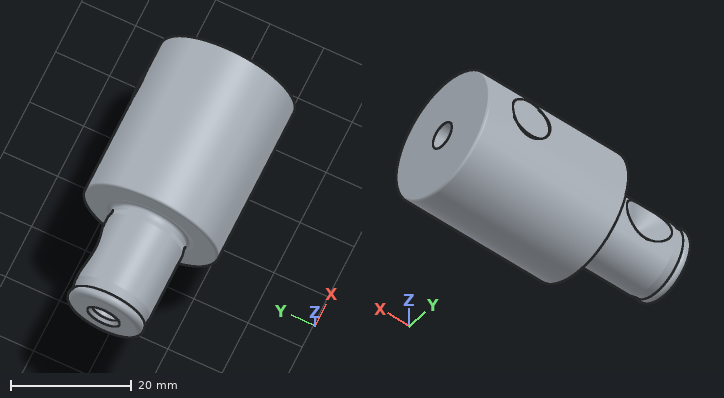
import cadquery as cq

total_length = 48.0
head_start = 18.0
head_diameter = 25.0
head_radius = head_diameter / 2
head_edge_radius = 0.5
shank_radius = 7.0

nose_radius = 1.0
nose_face_radius = shank_radius - nose_radius
nose_end = 1.5
neck_start = 1.8
neck_end = 1.9
neck_radius = 6.7
neck_taper_end = 3.5

undercut_taper_start = 15.95
undercut_start = 17.0
undercut_end = 17.55
undercut_radius = 6.75
undercut_blend_start = 16.8
undercut_blend_drop = 0.025
face_recess_depth = 0.1
face_recess_inner_radius = 7.55
face_recess_outer_radius = 8.1

bore_radius = 2.5
bore_chamfer_width = 0.5
bore_chamfer_depth = 0.85

seat_x = 9.25
seat_mouth_radius = 4.85
seat_rim_margin = 0.95

plug_x = 39.0
plug_diameter = 8.0
plug_radius = plug_diameter / 2
plug_length = plug_diameter
plug_end_y = 12.2


def turned_blank():
    """Revolved shank and head, with the nose, neck and undercut."""
    nose_rise = (nose_radius**2 - (nose_end - nose_radius) ** 2) ** 0.5
    diagonal = nose_radius / 2**0.5
    profile = (
        cq.Workplane("XY")
        .moveTo(0, 0)
        .lineTo(0, nose_face_radius)
        .threePointArc(
            (nose_radius - diagonal, nose_face_radius + diagonal),
            (nose_end, nose_face_radius + nose_rise),
        )
        .lineTo(neck_start, neck_radius)
        .lineTo(neck_end, neck_radius)
        .lineTo(neck_taper_end, shank_radius)
        .lineTo(undercut_taper_start, shank_radius)
        .lineTo(undercut_blend_start, undercut_radius + undercut_blend_drop)
        .tangentArcPoint((undercut_start, undercut_radius), relative=False)
        .lineTo(undercut_end, undercut_radius)
        .tangentArcPoint((head_start + face_recess_depth, face_recess_inner_radius), relative=False)
        .lineTo(head_start, face_recess_outer_radius)
        .lineTo(head_start, head_radius)
        .lineTo(total_length, head_radius)
        .lineTo(total_length, 0)
        .close()
    )
    blank = profile.revolve(360, (0, 0, 0), (1, 0, 0))
    head_edges = cq.selectors.RadiusNthSelector(-1)
    return blank.edges("%CIRCLE").edges(head_edges).fillet(head_edge_radius)


def bore():
    """Straight through bore, widened by a chamfer at the shank end."""
    return (
        cq.Workplane("XY")
        .moveTo(0, 0)
        .lineTo(0, bore_radius + bore_chamfer_width)
        .lineTo(bore_chamfer_depth, bore_radius)
        .lineTo(total_length, bore_radius)
        .lineTo(total_length, 0)
        .close()
        .revolve(360, (0, 0, 0), (1, 0, 0))
    )


def conical_seat():
    """Cone along Y whose radius at the shank's outermost line is the mouth radius."""
    cone_height = seat_mouth_radius + seat_rim_margin
    apex_y = shank_radius - seat_mouth_radius
    cone = cq.Solid.makeCone(0, cone_height, cone_height, cq.Vector(seat_x, apex_y, 0), cq.Vector(0, 1, 0))
    return cq.Workplane(obj=cone)


def radial_cylinder(bottom_y, top_y):
    """Cylinder of the plug's radius along Y, at the plug's place."""
    cylinder = cq.Solid.makeCylinder(
        plug_radius, top_y - bottom_y, cq.Vector(plug_x, bottom_y, 0), cq.Vector(0, 1, 0)
    )
    return cq.Workplane(obj=cylinder)


plug_bottom_y = plug_end_y - plug_length

holder = (
    turned_blank()
    .cut(bore())
    .cut(conical_seat())
    .cut(radial_cylinder(plug_bottom_y, head_radius))
)
plug = radial_cylinder(plug_bottom_y, plug_end_y)

result = cq.Compound.makeCompound([holder.val(), plug.val()])